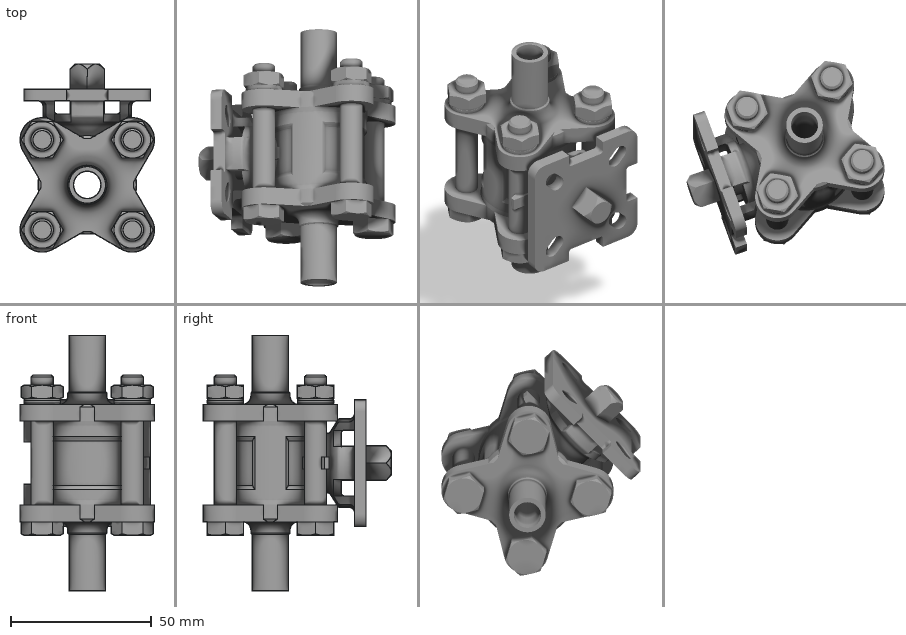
import cadquery as cq
import math


total_length = 90.7
bore_d = 9.6
pipe_d = 13.0
collar_d = 14.0
collar_height = 1.45
collar_chamfer = 0.45
flare_radius = 3.0

plate_inner_z = 14.9
plate_thickness = 6.0
plate_outer_z = plate_inner_z + plate_thickness
bolt_spacing = 32.0
bolt_offset = bolt_spacing / 2
lobe_radius = 7.9
flank_angle = 30.0
waist_d = 35.0
waist_chamfer = 1.0

bolt_d = 8.0
bolt_tip_z = 31.3
bolt_tip_chamfer = 0.7
across_flats = 13.0
hex_height = 4.8
corner_chamfer_angle = 30.0
washer_d = 13.0
washer_rim_d = 12.8
washer_layers = ((washer_rim_d, 0.45), (washer_d, 0.9), (washer_rim_d, 0.6))

body_d = 34.5
body_flare_height = 1.6
recess_d = 32.5
recess_outer_z = 9.4
recess_mid_z = 8.4
recess_inner_z = 7.9
recess_mid_d = 33.0
rib_outer_width = 11.1
rib_inner_width = 12.9
rib_inner_x = 14.8

neck_d = 21.2
neck_end_y = 20.95
hub_d = 26.0
hub_top_y = 25.2
hub_fillet = 0.9
cup_d = 31.6
cup_base_y = 24.1
cone_blend = 0.6
arm_width = 11.7
arm_fillet = 1.8

mount_side = 45.1
mount_inner_y = 29.8
mount_thickness = 4.2
mount_outer_y = mount_inner_y + mount_thickness
mount_corner_radius = 4.2
notch_width = 14.9
notch_depth = 4.7
notch_fillet = 1.0
slot_width = 5.5
slot_start_radius = 18.05
slot_end_radius = 21.0

stem_side = 8.7
stem_d = stem_side * math.sqrt(2)
stem_tip_d = 8.6
total_depth = 66.85
stem_tip_y = total_depth - bolt_offset - lobe_radius

lug_height = 4.2
lug_half_width = 11.5
lug_end_y = 19.95
stop_end_x = 22.0
stop_start_y = 18.1
stop_end_y = 20.9
stop_curve_x = 18.6
stop_curve_rise = 1.1


def cylinder_z(diameter, z_start, z_end):
    return cq.Workplane("XY").workplane(offset=z_start).circle(diameter / 2).extrude(z_end - z_start)


def cylinder_y(diameter, y_start, y_end):
    plane = cq.Workplane("XZ", origin=(0, y_start, 0))
    return plane.circle(diameter / 2).extrude(y_start - y_end)


def box_between(x_range, y_range, z_range):
    ranges = (x_range, y_range, z_range)
    sizes = [high - low for low, high in ranges]
    centre = tuple((low + high) / 2 for low, high in ranges)
    return cq.Workplane("XY").box(*sizes).translate(centre)


def make_pipe_end():
    """Upper pipe with its collar and the concave flare onto the end plate."""
    pipe = cylinder_z(pipe_d, plate_inner_z, total_length / 2)
    collar_r = collar_d / 2
    flare_r = collar_r + flare_radius
    collar_start_z = plate_outer_z + flare_radius
    collar_end_z = collar_start_z + collar_height
    arc_inset = flare_radius * (1 - math.sqrt(0.5))
    collar = (
        cq.Workplane("XZ")
        .moveTo(0, plate_inner_z)
        .lineTo(flare_r, plate_inner_z)
        .lineTo(flare_r, plate_outer_z)
        .threePointArc((collar_r + arc_inset, plate_outer_z + arc_inset), (collar_r, collar_start_z))
        .lineTo(collar_r, collar_end_z - collar_chamfer)
        .lineTo(collar_r - collar_chamfer, collar_end_z)
        .lineTo(0, collar_end_z)
        .close()
        .revolve(360, (0, 0, 0), (0, 1, 0))
    )
    return pipe.union(collar)


def make_end_plate():
    """Upper four-lobed plate: lobe flanks are tangent lines at flank_angle to the axes."""
    flank = math.radians(flank_angle)
    along = lobe_radius * math.sin(flank)
    across = lobe_radius * math.cos(flank)
    near = bolt_offset - along
    far = bolt_offset + across
    valley = far - near * math.tan(flank)
    outline = []
    for quarter in range(4):
        turn = math.radians(90 * quarter)
        for x, y in ((0, valley), (near, far), (far, near)):
            outline.append((
                x * math.cos(turn) + y * math.sin(turn),
                y * math.cos(turn) - x * math.sin(turn),
            ))
    start = cq.Workplane("XY").workplane(offset=plate_inner_z)
    plate = start.polyline(outline).close().extrude(plate_thickness)
    lobes = start.rect(bolt_spacing, bolt_spacing, forConstruction=True).vertices()
    plate = plate.union(lobes.circle(lobe_radius).extrude(plate_thickness))
    waist = cylinder_z(waist_d, plate_inner_z, plate_outer_z).faces(">Z").chamfer(waist_chamfer)
    return plate.union(waist)


def make_hex(z_start, chamfer_bottom, chamfer_top):
    """Hexagon with corners along X, its corners turned down by cones."""
    corner_r = across_flats / math.sqrt(3)
    inset = corner_r - across_flats / 2
    drop = inset * math.tan(math.radians(corner_chamfer_angle))
    z_end = z_start + hex_height
    prism = cq.Workplane("XY").workplane(offset=z_start).polygon(6, 2 * corner_r).extrude(hex_height)
    turned = cylinder_z(2 * corner_r, z_start, z_end)
    if chamfer_bottom:
        turned = turned.faces("<Z").chamfer(drop, inset)
    if chamfer_top:
        turned = turned.faces(">Z").chamfer(drop, inset)
    return prism.intersect(turned)


def make_bolt():
    """Bolt with head below, washers and nut above, standing on the Z axis."""
    bolt = cylinder_z(bolt_d, -plate_outer_z, bolt_tip_z).faces(">Z").chamfer(bolt_tip_chamfer)
    bolt = bolt.union(make_hex(-plate_outer_z - hex_height, True, False))
    z = plate_outer_z
    for diameter, height in washer_layers:
        bolt = bolt.union(cylinder_z(diameter, z, z + height))
        z += height
    return bolt.union(make_hex(z, True, True))


def make_body():
    """Barrel flaring into the end plates, recessed all round except at a rib on each X side."""
    flare_z = plate_inner_z - body_flare_height
    barrel = (
        cq.Workplane("XZ")
        .polyline([
            (0, -plate_inner_z),
            (waist_d / 2, -plate_inner_z),
            (body_d / 2, -flare_z),
            (body_d / 2, -recess_outer_z),
            (recess_mid_d / 2, -recess_mid_z),
            (recess_d / 2, -recess_inner_z),
            (recess_d / 2, recess_inner_z),
            (recess_mid_d / 2, recess_mid_z),
            (body_d / 2, recess_outer_z),
            (body_d / 2, flare_z),
            (waist_d / 2, plate_inner_z),
            (0, plate_inner_z),
        ])
        .close()
        .revolve(360, (0, 0, 0), (0, 1, 0))
    )
    rib_outer_x = math.sqrt((body_d / 2) ** 2 - (rib_outer_width / 2) ** 2)
    ribs = (
        cq.Workplane("XY")
        .workplane(offset=-recess_outer_z)
        .polyline([
            (rib_inner_x, rib_inner_width / 2),
            (rib_outer_x, rib_outer_width / 2),
            (body_d / 2, rib_outer_width / 2),
            (body_d / 2, -rib_outer_width / 2),
            (rib_outer_x, -rib_outer_width / 2),
            (rib_inner_x, -rib_inner_width / 2),
        ])
        .close()
        .extrude(2 * recess_outer_z)
    )
    ribs = ribs.union(ribs.mirror("YZ"))
    ribs = ribs.intersect(cylinder_z(body_d, -recess_outer_z, recess_outer_z))
    return barrel.union(ribs)


def make_neck_and_cup():
    """Neck, conical cup, hub and the four arms that carry the mounting plate."""
    cup_r = cup_d / 2
    hub_r = hub_d / 2
    neck_r = neck_d / 2
    cone_angle = math.atan2(cup_base_y - neck_end_y, cup_r - neck_r)
    blend_x = cone_blend * math.cos(cone_angle)
    blend_y = cone_blend * math.sin(cone_angle)
    hub_bottom_y = neck_end_y + (hub_r - neck_r) * math.tan(cone_angle)
    neck_and_hub = (
        cq.Workplane("XY")
        .moveTo(0, 0)
        .lineTo(neck_r, 0)
        .lineTo(neck_r, neck_end_y - cone_blend)
        .tangentArcPoint((neck_r + blend_x, neck_end_y + blend_y), relative=False)
        .lineTo(hub_r, hub_bottom_y)
        .lineTo(hub_r, hub_top_y)
        .lineTo(0, hub_top_y)
        .close()
        .revolve(360, (0, 0, 0), (0, 1, 0))
    )
    ring = (
        cq.Workplane("XY")
        .moveTo(neck_r + blend_x, neck_end_y + blend_y)
        .lineTo(cup_r - blend_x, cup_base_y - blend_y)
        .tangentArcPoint((cup_r, cup_base_y + cone_blend), relative=False)
        .lineTo(cup_r, mount_inner_y - arm_fillet)
        .tangentArcPoint((cup_r + arm_fillet, mount_inner_y), relative=False)
        .lineTo(hub_r, mount_inner_y)
        .lineTo(hub_r, hub_top_y + hub_fillet)
        .tangentArcPoint((hub_r - hub_fillet, hub_top_y), relative=False)
        .lineTo(neck_r + blend_x, hub_top_y)
        .close()
        .revolve(360, (0, 0, 0), (0, 1, 0))
    )
    reach = mount_side / 2
    height = (neck_end_y, mount_inner_y)
    half = arm_width / 2
    cross = box_between((-reach, reach), height, (-half, half))
    cross = cross.union(box_between((-half, half), height, (-reach, reach)))
    return neck_and_hub.union(ring.intersect(cross))


def make_mounting_plate():
    """Square plate with four radial slots and notches on every side but +X."""
    half = mount_side / 2
    span = (mount_inner_y, mount_outer_y)
    plate = box_between((-half, half), span, (-half, half)).edges("|Y").fillet(mount_corner_radius)
    notch = box_between(
        (half - notch_depth, half + notch_depth), span, (-notch_width / 2, notch_width / 2)
    )
    notch = notch.edges("|Y and <X").fillet(notch_fillet)
    slot_length = slot_end_radius - slot_start_radius + slot_width
    slot_centre = (slot_start_radius + slot_end_radius) / 2
    slot = (
        cq.Workplane("XZ", origin=(0, mount_outer_y, 0))
        .center(slot_centre, 0)
        .slot2D(slot_length, slot_width)
        .extrude(mount_thickness)
    )
    for angle in (90, 180, 270):
        plate = plate.cut(notch.rotate((0, 0, 0), (0, 1, 0), angle))
    for angle in (45, 135, 225, 315):
        plate = plate.cut(slot.rotate((0, 0, 0), (0, 1, 0), angle))
    return plate


def make_stem():
    """Round shaft with a square end of the same diameter across corners.

    One corner points up and a 45 degree cone trims the tip.
    """
    shaft = cylinder_y(stem_d, hub_top_y, mount_outer_y)
    square = (
        cq.Workplane("XZ", origin=(0, mount_outer_y, 0))
        .rect(stem_side, stem_side)
        .extrude(mount_outer_y - stem_tip_y)
        .rotate((0, 0, 0), (0, 1, 0), 45)
    )
    turned = cylinder_y(stem_d, mount_outer_y, stem_tip_y)
    turned = turned.faces(">Y").chamfer((stem_d - stem_tip_d) / 2)
    return shaft.union(square.intersect(turned))


def make_lug():
    """Block across the neck with a round-nosed stop reaching out to +X."""
    half = lug_height / 2
    block = box_between((-lug_half_width, lug_half_width), (0, lug_end_y), (-half, half))
    stop = (
        cq.Workplane("XY")
        .workplane(offset=-half)
        .moveTo(0, stop_start_y)
        .lineTo(stop_curve_x, stop_start_y)
        .tangentArcPoint((stop_end_x, stop_start_y + stop_curve_rise), relative=False)
        .lineTo(stop_end_x, stop_end_y)
        .lineTo(0, stop_end_y)
        .close()
        .extrude(lug_height)
    )
    return block.union(stop)


end = make_pipe_end().union(make_end_plate())
result = make_body().union(end).union(end.mirror("XY"))

bolt = make_bolt()
for x_side in (-1, 1):
    for y_side in (-1, 1):
        result = result.union(bolt.translate((x_side * bolt_offset, y_side * bolt_offset, 0)))

result = result.union(make_neck_and_cup())
result = result.union(make_mounting_plate())
result = result.union(make_stem())
result = result.union(make_lug())
result = result.cut(cylinder_z(bore_d, -total_length / 2, total_length / 2))